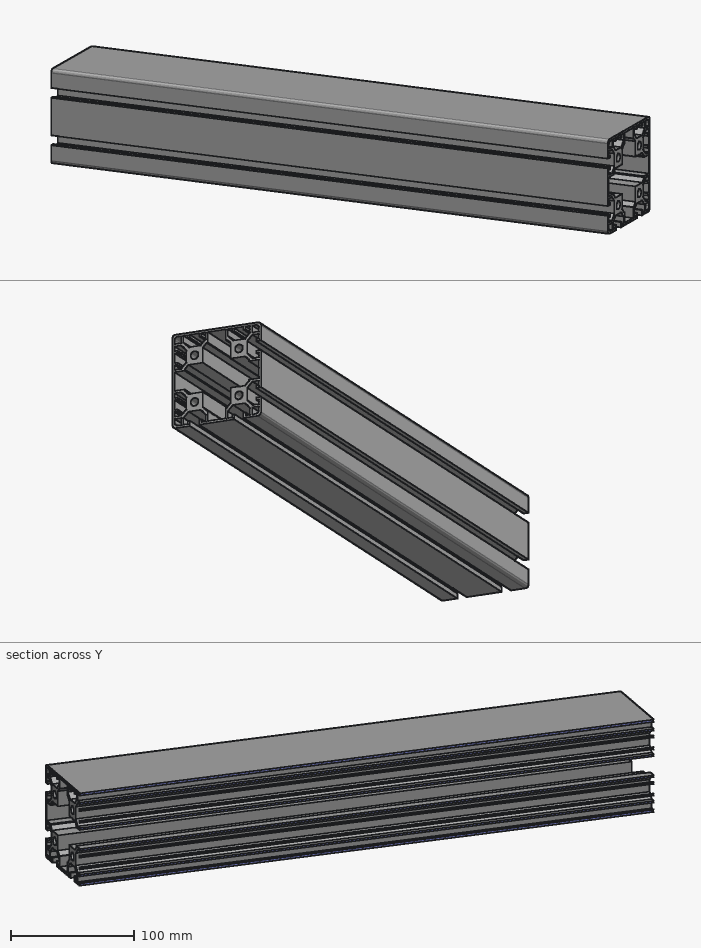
import cadquery as cq

length = 500.0
side = 80.0
corner_radius = 3.0
wall = 2.0

core_offset = side / 4
core_half = 7.5
bore_radius = 3.4

mouth_half = 4.15
lip_half = 6.0
lip_depth = 4.5
chamber_half = 10.0
shoulder_width = 4.75

web = 2.0
arm_setback = 2.0
arm_tip = 9.0

pocket_radius = 3.0

outer_face = side / 2 - core_offset
wall_inside = outer_face - wall
lip_inside = outer_face - lip_depth
shoulder = core_half + shoulder_width
floor_half = chamber_half - shoulder_width
web_outside = chamber_half + web


def prism(outline):
    """Full-length prism over a closed outline of (Y, Z) points."""
    return cq.Workplane("YZ", origin=(-length / 2, 0, 0)).polyline(outline).close().extrude(length)


def bar(y_min, y_max, z_min, z_max):
    """Full-length bar with a rectangular section."""
    return prism([(y_min, z_min), (y_max, z_min), (y_max, z_max), (y_min, z_max)])


def slot_chamber():
    """T-slot chamber on the +Z side of a core, still closed by the outer wall."""
    right = [
        (floor_half, core_half),
        (chamber_half, shoulder),
        (chamber_half, wall_inside),
        (lip_half, wall_inside),
        (lip_half, lip_inside),
        (mouth_half, lip_inside),
        (mouth_half, wall_inside),
    ]
    left = [(-y, z) for y, z in reversed(right)]
    return prism(right + left)


def central_cavity():
    """One quarter of the central cavity, wrapped around the inner sides of a core."""
    core_corner = (-core_half, -core_half)
    upper = [
        (-core_offset, wall_inside),
        (-web_outside, wall_inside),
        (-web_outside, arm_tip),
        (-arm_tip - arm_setback, arm_tip),
        (-core_half, core_half - arm_setback),
    ]
    lower = [(z, y) for y, z in reversed(upper)]
    return prism(upper + [core_corner] + lower + [(-core_offset, -core_offset)])


def corner_pocket():
    """Hollow in the section's outer corner, rounded beneath the corner of the profile."""
    pocket = bar(web_outside, wall_inside, web_outside, wall_inside)
    return pocket.edges("|X and >Y and >Z").fillet(pocket_radius)


def quarter_voids():
    """All voids around one core, in the quarter whose outer faces look toward +Y and +Z."""
    chamber = slot_chamber()
    bore = cq.Workplane("YZ", origin=(-length / 2, 0, 0)).circle(bore_radius).extrude(length)
    voids = central_cavity().union(corner_pocket()).union(bore)
    voids = voids.union(chamber).union(chamber.rotate((0, 0, 0), (1, 0, 0), -90))
    return voids.translate((0, core_offset, core_offset))


profile = cq.Workplane("XY").box(length, side, side).edges("|X").fillet(corner_radius)

quarter = quarter_voids()
for turn in range(4):
    profile = profile.cut(quarter.rotate((0, 0, 0), (1, 0, 0), 90 * turn))

open_face = -side / 2
for slot_centre in (-core_offset, core_offset):
    mouth = (slot_centre - mouth_half, slot_centre + mouth_half)
    depth = (open_face, open_face + lip_depth)
    profile = profile.cut(bar(*depth, *mouth)).cut(bar(*mouth, *depth))

result = profile